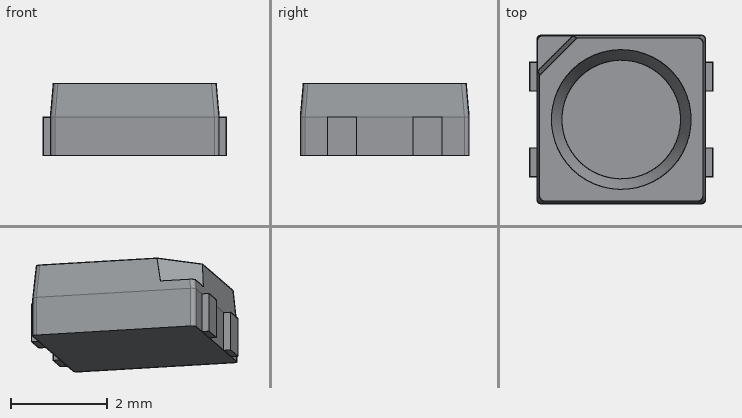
import cadquery as cq
import math

overall_length = 3.8
body_side = 3.5
body_height = 1.5
base_height = 0.8
draft_angle = 5.0
corner_radius = 0.1

cup_top_radius = 1.448
cup_depth = 0.6
cup_draft_angle = 20.0

notch_depth = 0.5
notch_leg_top = 0.893
notch_leg_floor = 0.765

lead_width = 0.6
lead_spacing = 1.78

half_side = body_side / 2
taper_height = body_height - base_height
top_side = body_side - 2 * taper_height * math.tan(math.radians(draft_angle))
cup_floor_radius = cup_top_radius - cup_depth * math.tan(math.radians(cup_draft_angle))
cup_floor_z = body_height - cup_depth
lead_length = (overall_length - body_side) / 2


def rounded_square(side):
    """Square sketch with rounded corners."""
    return cq.Sketch().rect(side, side).vertices().fillet(corner_radius)


def make_shell():
    """Straight base with a tapered upper part."""
    base = cq.Workplane("XY").placeSketch(rounded_square(body_side)).extrude(base_height)
    upper = (
        cq.Workplane("XY", origin=(0, 0, base_height))
        .placeSketch(
            rounded_square(body_side),
            rounded_square(top_side).moved(cq.Location(cq.Vector(0, 0, taper_height))),
        )
        .loft()
    )
    return base.union(upper)


def make_cup():
    """Conical reflector cup cutter, open at the top face."""
    return (
        cq.Workplane("XY", origin=(0, 0, cup_floor_z))
        .circle(cup_floor_radius)
        .workplane(offset=cup_depth)
        .circle(cup_top_radius)
        .loft()
    )


def notch_triangle(leg):
    """Corner points of a right triangle in the -X, +Y corner."""
    return [
        (-half_side, half_side),
        (-half_side, half_side - leg),
        (-half_side + leg, half_side),
    ]


def make_notch():
    """Polarity mark: corner cutter with a sloped diagonal wall."""
    return (
        cq.Workplane("XY", origin=(0, 0, body_height - notch_depth))
        .polyline(notch_triangle(notch_leg_floor))
        .close()
        .workplane(offset=notch_depth)
        .polyline(notch_triangle(notch_leg_top))
        .close()
        .loft(ruled=True)
    )


def make_lead(side_x, side_y):
    """One terminal block touching a housing side; side_x and side_y are -1 or 1."""
    center_x = side_x * (half_side + lead_length / 2)
    center_y = side_y * lead_spacing / 2
    return (
        cq.Workplane("XY")
        .center(center_x, center_y)
        .rect(lead_length, lead_width)
        .extrude(base_height)
    )


housing = make_shell().cut(make_cup()).cut(make_notch()).solids()
leads = [make_lead(side_x, side_y) for side_x in (-1, 1) for side_y in (-1, 1)]

result = cq.Compound.makeCompound([housing.val(), *[lead.val() for lead in leads]])